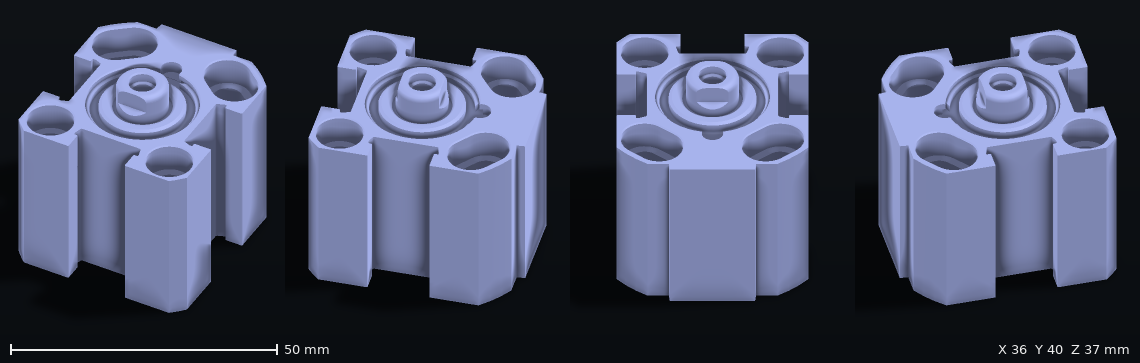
import cadquery as cq
import math


body_height = 32.0
half_width = 18.0
corner_radius = 23.75
shoulder_y = 20.4
tab_y = 22.0
tab_half_width = 8.0
tab_root_half_width = 8.15

slot_half_mouth = 6.0
lip_thickness = 3.65
undercut_half_width = 6.85
lip_edge_radius = 0.2
floor_edge_radius = 0.3
side_slot_depth = 5.7
side_slot_half_floor = 6.3
side_slot_straight = 0.55
front_slot_depth = 5.75
front_slot_half_floor = 6.35
front_slot_straight = 0.4

bolt_spacing = 12.7
slot_end_x = 10.0
slot_end_y = 14.9
bolt_diameter = 5.8
counterbore_diameter = 9.0
counterbore_depth = 5.7
counterbore_chamfer = 0.25

seat_diameter = 21.6
seat_chamfer = 0.25
seat_floor_z = 20.0
ring_depth = 1.25
ring_thickness = 1.3
groove_diameter = 22.8
notch_diameter = 4.1
notch_center_y = 11.3
notch_depth = 2.4
chamber_diameter = 20.0
chamber_floor_z = 4.0

ring_bore = 20.0
gap_inner_half = 2.6
gap_flare_angle = 70.0

boss_diameter = 16.5
boss_depth = 0.3
boss_chamfer_width = 0.6
boss_chamfer_height = 0.35
boss_root_radius = 0.5
gland_bore = 11.4
gland_bore_chamfer = 0.5

wiper_lip_diameter = 10.5
wiper_depth = 1.3
wiper_cone_height = 0.5
wiper_height = 4.0

rod_diameter = 10.0
rod_top_z = 37.0
rod_edge_radius = 1.3
flat_half_width = 4.0
flat_length = 3.45
rod_counterbore = 5.25
rod_counterbore_depth = 2.0
rod_hole_diameter = 4.1
rod_hole_depth = 10.0
rod_hole_chamfer = 0.3

ring_top_z = body_height - ring_depth
ring_bottom_z = ring_top_z - ring_thickness
boss_top_z = body_height - boss_depth
wiper_top_z = body_height - wiper_depth
wiper_bottom_z = wiper_top_z - wiper_height
rod_radius = rod_diameter / 2


def cylinder(diameter, bottom_z, top_z):
    """Solid cylinder on the axis between two heights."""
    return cq.Workplane("XY").workplane(offset=bottom_z).circle(diameter / 2).extrude(top_z - bottom_z)


def cone(bottom_diameter, top_diameter, bottom_z, top_z):
    """Solid cone frustum on the axis between two heights."""
    height = top_z - bottom_z
    frustum = cq.Solid.makeCone(bottom_diameter / 2, top_diameter / 2, height, cq.Vector(0, 0, bottom_z))
    return cq.Workplane(obj=frustum)


def on_corner_circle(coordinate):
    """Other coordinate of the point of the corner circle that has this one."""
    return math.sqrt(corner_radius**2 - coordinate**2)


def housing_blank():
    """Outer profile without the T-slots."""
    shoulder_x = on_corner_circle(shoulder_y)
    side_y = on_corner_circle(half_width)
    diagonal = corner_radius / math.sqrt(2)
    return (
        cq.Workplane("XY")
        .moveTo(-side_y, -half_width)
        .lineTo(side_y, -half_width)
        .threePointArc((diagonal, -diagonal), (half_width, -side_y))
        .lineTo(half_width, side_y)
        .threePointArc((diagonal, diagonal), (shoulder_x, shoulder_y))
        .lineTo(tab_root_half_width, shoulder_y)
        .lineTo(tab_half_width, tab_y)
        .lineTo(-tab_half_width, tab_y)
        .lineTo(-tab_root_half_width, shoulder_y)
        .lineTo(-shoulder_x, shoulder_y)
        .threePointArc((-diagonal, diagonal), (-half_width, side_y))
        .lineTo(-half_width, -side_y)
        .threePointArc((-diagonal, -diagonal), (-side_y, -half_width))
        .close()
        .extrude(body_height)
    )


def t_slot(depth, half_floor, straight, angle):
    """Cutter for a T-slot in the front face, turned about the axis by the angle."""
    face_y = -half_width
    lip_y = face_y + lip_thickness
    half_outline = [
        (slot_half_mouth, face_y),
        (slot_half_mouth, lip_y),
        (undercut_half_width, lip_y),
        (undercut_half_width, lip_y + straight),
        (half_floor, face_y + depth),
    ]
    mirrored = [(-x, y) for x, y in reversed(half_outline)]
    cutter = cq.Workplane("XY").polyline(half_outline + mirrored).close().extrude(body_height)
    cutter = cutter.faces(">Y").edges("|Z").fillet(floor_edge_radius)
    return cutter.rotate((0, 0, 0), (0, 0, 1), angle)


def round_lips(body):
    """Round the vertical edges of the T-slot lips."""
    tolerance = 0.05
    lip_depths = (half_width, half_width - lip_thickness)

    def is_lip_edge(edge):
        across, along = sorted((abs(edge.Center().x), abs(edge.Center().y)))
        at_mouth = abs(across - slot_half_mouth) < tolerance
        return at_mouth and any(abs(along - depth) < tolerance for depth in lip_depths)

    lip_edges = [edge for edge in body.edges("|Z").vals() if is_lip_edge(edge)]
    return body.newObject(lip_edges).fillet(lip_edge_radius)


def bolt_hole():
    """Cutter for the counterbored round hole in the front right corner."""
    chamfer_bottom = body_height - counterbore_chamfer
    mouth_diameter = counterbore_diameter + 2 * counterbore_chamfer
    cutter = (
        cylinder(bolt_diameter, 0, body_height)
        .union(cylinder(counterbore_diameter, body_height - counterbore_depth, body_height))
        .union(cone(counterbore_diameter, mouth_diameter, chamfer_bottom, body_height))
    )
    return cutter.translate((bolt_spacing, -bolt_spacing, 0))


def bolt_slot():
    """Cutter for the counterbored slot in the rear right corner."""
    run_x = slot_end_x - bolt_spacing
    run_y = slot_end_y - bolt_spacing
    center = ((slot_end_x + bolt_spacing) / 2, (slot_end_y + bolt_spacing) / 2)
    run = math.hypot(run_x, run_y)
    angle = math.degrees(math.atan2(run_y, run_x))
    outward_taper = -45

    def slot_prism(diameter, bottom_z, taper=0):
        plane = cq.Workplane("XY").workplane(offset=bottom_z).center(*center)
        outline = plane.slot2D(run + diameter, diameter, angle)
        return outline.extrude(body_height - bottom_z, taper=taper)

    chamfer_bottom = body_height - counterbore_chamfer
    return (
        slot_prism(bolt_diameter, 0)
        .union(slot_prism(counterbore_diameter, body_height - counterbore_depth))
        .union(slot_prism(counterbore_diameter, chamfer_bottom, taper=outward_taper))
    )


def housing_cavity():
    """Cutter for the piston chamber, gland seat, ring groove and notch."""
    notch = cylinder(notch_diameter, body_height - notch_depth, body_height).translate((0, notch_center_y, 0))
    mouth_diameter = seat_diameter + 2 * seat_chamfer
    return (
        cylinder(chamber_diameter, chamber_floor_z, seat_floor_z)
        .union(cylinder(seat_diameter, seat_floor_z, body_height))
        .union(cone(seat_diameter, mouth_diameter, body_height - seat_chamfer, body_height))
        .union(cylinder(groove_diameter, ring_bottom_z, ring_top_z))
        .union(notch)
    )


def make_housing():
    body = housing_blank()
    body = body.cut(t_slot(front_slot_depth, front_slot_half_floor, front_slot_straight, 0))
    for angle in (90, -90):
        body = body.cut(t_slot(side_slot_depth, side_slot_half_floor, side_slot_straight, angle))
    body = round_lips(body)
    for cutter in (bolt_hole(), bolt_slot()):
        body = body.cut(cutter).cut(cutter.mirror("YZ"))
    return body.cut(housing_cavity())


def make_retaining_ring():
    """Flat ring with a flared gap at the rear."""
    ring = cylinder(groove_diameter, ring_bottom_z, ring_top_z)
    ring = ring.cut(cylinder(ring_bore, ring_bottom_z, ring_top_z))
    inner_radius = ring_bore / 2
    inner_y = math.sqrt(inner_radius**2 - gap_inner_half**2)
    outer_y = groove_diameter / 2
    outer_half = gap_inner_half + (outer_y - inner_y) * math.tan(math.radians(gap_flare_angle))
    gap = (
        cq.Workplane("XY")
        .workplane(offset=ring_bottom_z)
        .polyline([
            (gap_inner_half, 0),
            (gap_inner_half, inner_y),
            (outer_half, outer_y),
            (-outer_half, outer_y),
            (-gap_inner_half, inner_y),
            (-gap_inner_half, 0),
        ])
        .close()
        .extrude(ring_thickness)
    )
    return ring.cut(gap)


def make_gland():
    """Revolved bush with a raised boss inside the retaining ring."""
    outer = seat_diameter / 2
    boss = boss_diameter / 2
    bore = gland_bore / 2
    root_middle = boss_root_radius * (1 - math.sqrt(0.5))
    return (
        cq.Workplane("XZ")
        .moveTo(rod_radius, seat_floor_z)
        .lineTo(outer, seat_floor_z)
        .lineTo(outer, ring_bottom_z)
        .lineTo(boss + boss_root_radius, ring_bottom_z)
        .threePointArc(
            (boss + root_middle, ring_bottom_z + root_middle),
            (boss, ring_bottom_z + boss_root_radius),
        )
        .lineTo(boss, boss_top_z - boss_chamfer_height)
        .lineTo(boss - boss_chamfer_width, boss_top_z)
        .lineTo(bore + gland_bore_chamfer, boss_top_z)
        .lineTo(bore, boss_top_z - gland_bore_chamfer)
        .lineTo(bore, wiper_bottom_z)
        .lineTo(rod_radius, wiper_bottom_z)
        .close()
        .revolve(360, (0, 0), (0, 1))
    )


def make_wiper():
    """Seal ring around the rod whose lip falls away outward."""
    outer = gland_bore / 2
    return (
        cq.Workplane("XZ")
        .moveTo(rod_radius, wiper_bottom_z)
        .lineTo(outer, wiper_bottom_z)
        .lineTo(outer, wiper_top_z - wiper_cone_height)
        .lineTo(wiper_lip_diameter / 2, wiper_top_z)
        .lineTo(rod_radius, wiper_top_z)
        .close()
        .revolve(360, (0, 0), (0, 1))
    )


def rod_hole():
    """Cutter for the stepped hole in the rod end, chamfered at both mouths."""
    shoulder_z = rod_top_z - rod_counterbore_depth
    lower_chamfer_z = shoulder_z - rod_hole_chamfer
    upper_chamfer_z = rod_top_z - rod_hole_chamfer
    widening = 2 * rod_hole_chamfer
    return (
        cylinder(rod_hole_diameter, rod_top_z - rod_hole_depth, rod_top_z)
        .union(cone(rod_hole_diameter, rod_hole_diameter + widening, lower_chamfer_z, shoulder_z))
        .union(cylinder(rod_counterbore, shoulder_z, rod_top_z))
        .union(cone(rod_counterbore, rod_counterbore + widening, upper_chamfer_z, rod_top_z))
    )


def wrench_flat():
    """Cutter for the flat on the rear of the rod, with a 45 degree run-out."""
    flat_bottom_z = rod_top_z - flat_length
    runout = rod_radius - flat_half_width
    return (
        cq.Workplane("YZ")
        .polyline([
            (flat_half_width, rod_top_z),
            (flat_half_width, flat_bottom_z),
            (rod_radius, flat_bottom_z - runout),
            (rod_radius, rod_top_z),
        ])
        .close()
        .extrude(rod_radius, both=True)
    )


def make_rod():
    rod = cylinder(rod_diameter, chamber_floor_z, rod_top_z).faces(">Z").edges().fillet(rod_edge_radius)
    flat = wrench_flat()
    return rod.cut(flat).cut(flat.mirror("XZ")).cut(rod_hole())


housing = make_housing()
retaining_ring = make_retaining_ring()
gland = make_gland()
wiper = make_wiper()
rod = make_rod()

result = cq.Compound.makeCompound([
    housing.val(),
    retaining_ring.val(),
    gland.val(),
    wiper.val(),
    rod.val(),
])